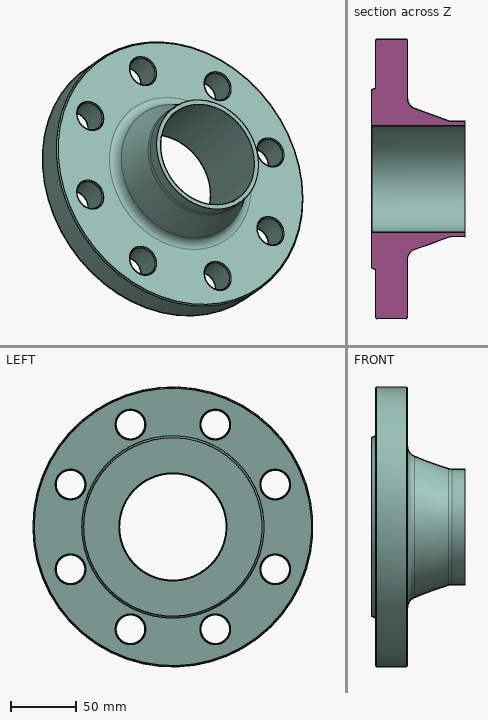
import cadquery as cq

flange_diameter = 215.0
face_diameter = 140.0
face_height = 3.0
flange_back = 28.0
flange_chamfer = 1.0
face_taper = 1.5

total_length = 72.0
pipe_diameter = 88.8
pipe_length = 11.6
cone_base_diameter = 112.5
neck_fillet = 8.0

bore_diameter = 81.7
bore_chamfer = 0.6
bolt_count = 8
bolt_hole_diameter = 22.0
bolt_circle_diameter = 170.0
bolt_hole_chamfer = 0.9


def make_body():
    """Revolve the solid outer shape: tapered raised face, disc, cone and pipe end."""
    cone_end = total_length - pipe_length
    outline = [
        (0, 0),
        (0, face_diameter / 2 - face_taper),
        (face_height, face_diameter / 2),
        (face_height, flange_diameter / 2 - flange_chamfer),
        (face_height + flange_chamfer, flange_diameter / 2),
        (flange_back - flange_chamfer, flange_diameter / 2),
        (flange_back, flange_diameter / 2 - flange_chamfer),
        (flange_back, cone_base_diameter / 2),
        (cone_end, pipe_diameter / 2),
        (total_length, pipe_diameter / 2),
        (total_length, 0),
    ]
    body = cq.Workplane("XY").polyline(outline).close().revolve(360, (0, 0, 0), (1, 0, 0))

    box_side = 2 * pipe_diameter
    edge_margin = 0.2
    for edge_x in (flange_back, cone_end):
        lower_corner = (edge_x - edge_margin, -box_side, -box_side)
        upper_corner = (edge_x + edge_margin, box_side, box_side)
        ring_edges = body.edges(cq.selectors.BoxSelector(lower_corner, upper_corner, boundingbox=True))
        neck_edge = ring_edges.edges(cq.selectors.RadiusNthSelector(0))
        body = neck_edge.fillet(neck_fillet)
    return body


def make_bore_cutter():
    """Through bore with a small chamfer at the sealing face."""
    bore = cq.Workplane("YZ").circle(bore_diameter / 2).extrude(total_length)
    mouth = (
        cq.Workplane("YZ")
        .circle(bore_diameter / 2 + bore_chamfer)
        .workplane(offset=bore_chamfer)
        .circle(bore_diameter / 2)
        .loft()
    )
    return bore.union(mouth)


def make_bolt_hole_cutter():
    """One bolt hole along X, widened by a chamfer at both disc faces."""
    radius = bolt_hole_diameter / 2
    mouth_radius = radius + bolt_hole_chamfer
    outline = [
        (face_height, 0),
        (face_height, mouth_radius),
        (face_height + bolt_hole_chamfer, radius),
        (flange_back - bolt_hole_chamfer, radius),
        (flange_back, mouth_radius),
        (flange_back, 0),
    ]
    cutter = cq.Workplane("XY").polyline(outline).close().revolve(360, (0, 0, 0), (1, 0, 0))
    return cutter.translate((0, bolt_circle_diameter / 2, 0))


result = make_body().cut(make_bore_cutter())

bolt_pitch = 360 / bolt_count
bolt_hole = make_bolt_hole_cutter()
for index in range(bolt_count):
    angle = (index + 0.5) * bolt_pitch
    result = result.cut(bolt_hole.rotate((0, 0, 0), (1, 0, 0), angle))